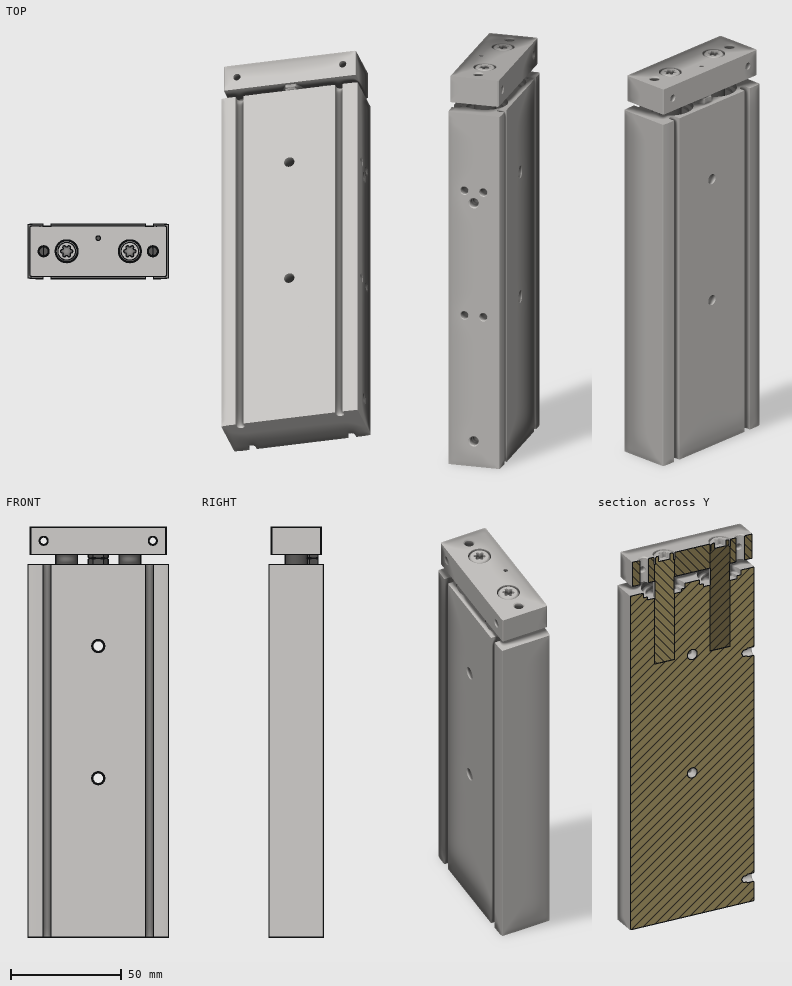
import cadquery as cq
import math

total_height = 186.5
housing_width = 64.0
housing_depth = 25.0
plate_width = 62.0
plate_depth = 23.0
plate_height = 12.5
plate_corner = 0.47
gap = 4.5
housing_height = total_height - plate_height - gap
plate_bottom = housing_height + gap

edge_curve_width = 4.0
edge_curve_drop = 0.4
edge_fillet = 0.4
groove_x = 23.3
groove_width = 3.5
groove_floor_depth = 2.2

rod_x = 14.4
rod_diameter = 10.0
rod_end_diameter = 9.5
rod_end_chamfer = 0.7
rod_end_bore_diameter = 10.5
rod_end_length = 3.7
rod_insertion = 37.3
recess_diameter = 21.0
recess_depth = 2.5
inner_recess_diameter = 17.2
inner_recess_depth = 4.0
socket_root_diameter = 4.0
socket_lobe_diameter = 1.5
socket_tip_diameter = 5.6
socket_depth = 2.8
socket_lobes = 6

mount_hole_diameter = 4.8
mount_hole_rim_diameter = 6.0
mount_hole_heights = (72.4, 132.5)
side_hole_diameter = 3.5
side_hole_rim_diameter = 4.1
side_hole_y = 4.5
side_hole_depth = 7.5
port_diameter = 4.1
port_rim_diameter = 5.0
port_heights = (12.1, 126.8)
port_depth = 3.7
port_pilot_diameter = 3.0
port_pilot_depth = 5.6
port_tip_depth = 1.0

plate_hole_x = 24.8
cross_hole_diameter = 3.4
cross_hole_rim_diameter = 4.1
top_hole_diameter = 4.1
top_hole_rim_diameter = 5.0
sight_hole_diameter = 2.0

bolt_y = 6.0
hex_across_flats = 8.0
hex_face_diameter = 7.6
nut_height = 1.7
shank_diameter = 4.8
shank_insertion = 7.5
hex_chamfer_angle = 30.0

head_height = gap - nut_height

half_width = housing_width / 2
half_depth = housing_depth / 2
UP = (0, 0, 1)
DOWN = (0, 0, -1)
BACK = (0, 1, 0)
RIGHT = (1, 0, 0)


def cylinder(diameter, length, start, direction):
    """A cylinder that runs from the start point along the direction."""
    return cq.Workplane(
        obj=cq.Solid.makeCylinder(diameter / 2, length, cq.Vector(*start), cq.Vector(*direction))
    )


def rimmed_hole(diameter, rim_diameter, depth, start, direction):
    """A hole with a 45 degree chamfer at its mouth."""
    chamfer = (rim_diameter - diameter) / 2
    cone = cq.Solid.makeCone(
        rim_diameter / 2, diameter / 2, chamfer, cq.Vector(*start), cq.Vector(*direction)
    )
    return cylinder(diameter, depth, start, direction).union(cq.Workplane(obj=cone))


def make_rod(x):
    """A round rod from inside the housing to the plate's top, with a star socket in its end."""
    bottom = housing_height - rod_insertion
    shoulder = total_height - rod_end_length
    rod_end = (
        cylinder(rod_end_diameter, rod_end_length, (x, 0, shoulder), UP)
        .faces(">Z").edges().chamfer(rod_end_chamfer)
    )
    rod = cylinder(rod_diameter, shoulder - bottom, (x, 0, bottom), UP).union(rod_end)
    socket_floor = total_height - socket_depth
    socket = cylinder(socket_root_diameter, socket_depth, (x, 0, socket_floor), UP)
    lobe_radius = (socket_tip_diameter - socket_lobe_diameter) / 2
    for i in range(socket_lobes):
        angle = 2 * math.pi * i / socket_lobes
        centre = (x + lobe_radius * math.cos(angle), lobe_radius * math.sin(angle), socket_floor)
        socket = socket.union(cylinder(socket_lobe_diameter, socket_depth, centre, UP))
    return rod.cut(socket)


def hex_prism(bottom, height, chamfer_top):
    """A hexagon on the bolt axis, corners on X, with its top or bottom corners chamfered."""
    across_corners = hex_across_flats / math.cos(math.pi / 6)
    prism = (
        cq.Workplane("XY", origin=(0, bolt_y, bottom)).polygon(6, across_corners).extrude(height)
    )
    cone_growth = height / math.tan(math.radians(hex_chamfer_angle))
    face_radius = hex_face_diameter / 2
    start_z = bottom + height if chamfer_top else bottom
    cone = cq.Solid.makeCone(
        face_radius, face_radius + cone_growth, height,
        cq.Vector(0, bolt_y, start_z), cq.Vector(*(DOWN if chamfer_top else UP))
    )
    return prism.intersect(cq.Workplane(obj=cone))


def make_bolt():
    """The stop bolt: a hexagon head on the housing and a shank up into the plate."""
    shank_length = nut_height + shank_insertion
    head = hex_prism(housing_height, head_height, chamfer_top=True)
    head_top = housing_height + head_height
    shank = cylinder(shank_diameter, shank_length, (0, bolt_y, head_top), UP)
    return head.union(shank)


def make_nut():
    """The lock nut between the bolt head and the plate."""
    bottom = plate_bottom - nut_height
    nut = hex_prism(bottom, nut_height, chamfer_top=False)
    return nut.cut(cylinder(shank_diameter, nut_height, (0, bolt_y, bottom), UP))


def make_plate():
    """The end plate with its rod, bolt and fixing holes."""
    plate = (
        cq.Workplane("XY", origin=(0, 0, plate_bottom))
        .rect(plate_width, plate_depth).extrude(plate_height)
        .edges("|Z").chamfer(plate_corner)
    )
    middle_z = plate_bottom + plate_height / 2
    for side in (-1, 1):
        x = side * rod_x
        rod_hole = cylinder(rod_diameter, plate_height, (x, 0, plate_bottom), UP)
        rod_end_bore = cylinder(rod_end_bore_diameter, rod_end_length, (x, 0, total_height), DOWN)
        hole_x = side * plate_hole_x
        top_hole = rimmed_hole(
            top_hole_diameter, top_hole_rim_diameter, plate_height, (hole_x, 0, total_height), DOWN
        )
        cross_hole = rimmed_hole(
            cross_hole_diameter, cross_hole_rim_diameter, plate_depth,
            (hole_x, -plate_depth / 2, middle_z), BACK
        )
        plate = plate.cut(rod_hole).cut(rod_end_bore).cut(top_hole).cut(cross_hole)
    sight_hole = cylinder(sight_hole_diameter, plate_height, (0, bolt_y, plate_bottom), UP)
    shank_hole = cylinder(shank_diameter, shank_insertion, (0, bolt_y, plate_bottom), UP)
    return plate.cut(sight_hole).cut(shank_hole)


def housing_block():
    """A long block whose front and back faces curve away gently near the outer edges."""
    curve_x = half_width - edge_curve_width
    corner_y = half_depth - edge_curve_drop
    curve_radius = (edge_curve_width ** 2 + edge_curve_drop ** 2) / (2 * edge_curve_drop)
    arc_x = curve_x + edge_curve_width / 2
    arc_y = half_depth - curve_radius + math.sqrt(curve_radius ** 2 - (edge_curve_width / 2) ** 2)
    return (
        cq.Workplane("XY")
        .moveTo(half_width, 0).lineTo(half_width, corner_y)
        .threePointArc((arc_x, arc_y), (curve_x, half_depth)).lineTo(-curve_x, half_depth)
        .threePointArc((-arc_x, arc_y), (-half_width, corner_y)).lineTo(-half_width, 0)
        .mirrorX().extrude(housing_height).clean()
        .edges("|Z").edges("<X or >X").fillet(edge_fillet)
    )


def sensor_groove(x, face):
    """A round-floored groove along the whole housing; face is -1 for the front, 1 for the back."""
    floor_y = face * (half_depth - groove_floor_depth)
    mouth_y = face * (half_depth - groove_floor_depth / 2)
    mouth = (
        cq.Workplane("XY").center(x, mouth_y).rect(groove_width, groove_floor_depth).extrude(housing_height)
    )
    return mouth.union(cylinder(groove_width, housing_height, (x, floor_y, 0), UP))


def rod_opening(x):
    """The stepped recess and the guide hole for one rod."""
    top = (x, 0, housing_height)
    recess = cylinder(recess_diameter, recess_depth, top, DOWN)
    inner_recess = cylinder(inner_recess_diameter, inner_recess_depth, top, DOWN)
    return recess.union(inner_recess).union(cylinder(rod_diameter, rod_insertion, top, DOWN))


def port(z):
    """A port in the left side: a chamfered bore, then a pilot hole with a conical end."""
    mouth = (-half_width, 0, z)
    bore = rimmed_hole(port_diameter, port_rim_diameter, port_depth, mouth, RIGHT)
    pilot = cylinder(port_pilot_diameter, port_pilot_depth, mouth, RIGHT)
    tip = cq.Solid.makeCone(
        port_pilot_diameter / 2, 0, port_tip_depth,
        cq.Vector(port_pilot_depth - half_width, 0, z), cq.Vector(*RIGHT)
    )
    return bore.union(pilot).union(cq.Workplane(obj=tip))


def make_housing():
    """The housing: a long profiled block with grooves, rod openings and holes."""
    housing = housing_block()
    for side in (-1, 1):
        housing = housing.cut(rod_opening(side * rod_x))
        for face in (-1, 1):
            housing = housing.cut(sensor_groove(side * groove_x, face))
    for z in mount_hole_heights:
        mount_hole = rimmed_hole(
            mount_hole_diameter, mount_hole_rim_diameter, housing_depth, (0, -half_depth, z), BACK
        )
        housing = housing.cut(mount_hole)
        for y in (-side_hole_y, side_hole_y):
            side_hole = rimmed_hole(
                side_hole_diameter, side_hole_rim_diameter, side_hole_depth, (-half_width, y, z), RIGHT
            )
            housing = housing.cut(side_hole)
    for z in port_heights:
        housing = housing.cut(port(z))
    return housing


housing = make_housing()
plate = make_plate()
rods = [make_rod(x) for x in (-rod_x, rod_x)]
bolt = make_bolt()
nut = make_nut()

result = cq.Compound.makeCompound(
    [housing.val(), plate.val(), *[rod.val() for rod in rods], bolt.val(), nut.val()]
)